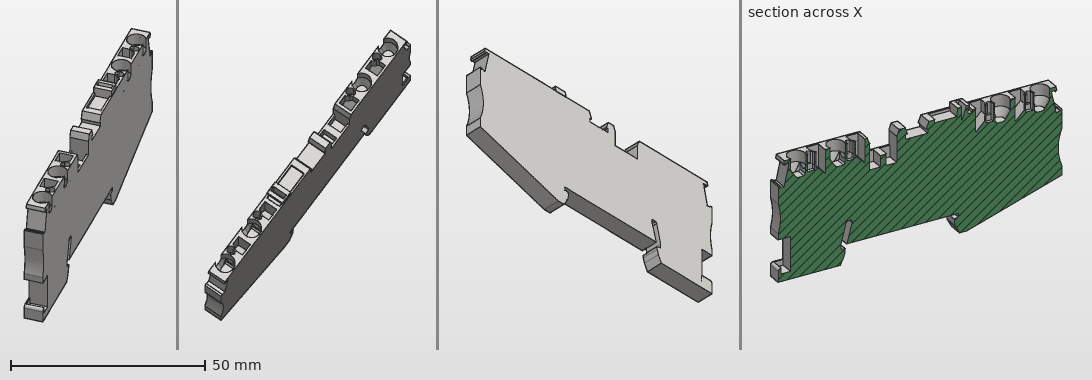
import cadquery as cq
import math

WIDTH = 5.1
HALF_LENGTH = 42.0
BODY_TOP = 35.3
TAB_TOP = 36.9

LEDGE_Z = 28.1
HOOK_TIP_Y = 40.5
HOOK_NECK_Y = 38.9

RAIL_ROOF_Z = 5.8
RAIL_BACK_Y = 11.25
LATCH_NOTCH_Y = -38.4
LATCH_NOTCH_TOP = 12.4
LATCH_NOTCH_BOTTOM = 4.0
LATCH_ROUND = 0.8
LATCH_RIM = 0.3
LATCH_HOLLOW_DEPTH = 1.7

MARKER_NOTCH_Z = 31.9
BRIDGE_NOTCH_Z = 29.15
BRIDGE_NOTCH_BACK = -7.0
BRIDGE_NOTCH_FRONT = -14.9

POCKET_WIDTH = 3.95
BRIDGE_POCKET_LENGTH = 3.0
BRIDGE_POCKET_DEPTH = 3.4

TAB_WIDTH = 4.9
TAB_BACK = 14.6
TAB_FRONT = 11.0
TAB_FOOT = 10.75
TAB_TAPER = 0.3
TAB_LIP = 0.8
TAB_SLOT_BACK = 13.6
TAB_SLOT_FRONT = 12.3
TAB_SLOT_SLOPE = 72.0
TAB_SEAT_BACK = 15.4
TAB_SEAT_DEPTH = 0.8
LABEL_FRONT = 4.4
LABEL_DEPTH = TAB_SEAT_DEPTH

TERMINAL_YS = (36.0, 24.4)
FUNNEL_X = 0.3
FUNNEL_RADIUS = 2.5
FUNNEL_STRAIGHT = 3.4
CONE_DEPTH = 2.6
CONE_END_X = 0.2
CONE_END_RADIUS = 1.4
CONE_END_SHIFT = 0.2
SEAT_REACH = 1.6
SEAT_RAMP_LENGTH = 0.5
SEAT_RAMP_SLOPE = 36.0

SPRING_BACK = -4.4
SPRING_FRONT = -7.9
SPRING_LEFT = -1.9
SPRING_RIGHT = 1.8
SPRING_CUT_X = 1.8
SPRING_CUT_Y = 1.1
SPRING_DEPTH = 3.4
SPRING_SLOPE = 45.0
TEST_HOLE_X = 1.35
TEST_HOLE_SHIFT = -3.8
TEST_HOLE_RADIUS = 1.0
TEST_HOLE_FLAT_X = 0.75
TEST_HOLE_DEPTH = 5.0
SIDE_HOLE_X = 0.5
SIDE_HOLE_SHIFT = -3.5
SIDE_HOLE_RADIUS = 0.6
SIDE_HOLE_DEPTH = 3.4


def box(x_min, x_max, y_min, y_max, z_min, z_max):
    """Block between two opposite corners."""
    size = (x_max - x_min, y_max - y_min, z_max - z_min)
    return cq.Workplane("XY").box(*size, centered=False).translate((x_min, y_min, z_min))


def prism(points, x_min, x_max):
    """Closed Y-Z outline extruded along X."""
    outline = cq.Workplane("YZ").polyline(points).close()
    return outline.extrude(x_max - x_min).translate((x_min, 0, 0))


def hook(side):
    """Hook outline at one end, from the top edge down to the side wall."""
    points = [
        (40.2, BODY_TOP),
        (HOOK_TIP_Y, 34.2),
        (40.0, 33.8),
        (39.9, 34.1),
        (HOOK_NECK_Y, 34.1),
        (40.3, 27.6),
        (41.3, 27.9),
        (41.4, LEDGE_Z),
        (HALF_LENGTH, LEDGE_Z),
    ]
    return [(side * y, z) for y, z in points]


def make_body():
    """Flat body, outlined from the back hook down, along the bottom and over the top."""
    feet_and_rail = [
        (HALF_LENGTH, 8.8),
        (13.8, 0),
        (11.7, 0),
        (10.25, 2.5),
        (10.0, 4.6),
        (RAIL_BACK_Y, 4.9),
        (RAIL_BACK_Y, RAIL_ROOF_Z),
        (-21.75, RAIL_ROOF_Z),
        (-20.2, 11.8),
        (-20.3, LATCH_NOTCH_TOP),
        (-21.5, LATCH_NOTCH_TOP),
        (-21.9, 11.9),
        (-23.35, 6.1),
        (-23.35, 4.9),
        (-22.1, 4.5),
        (-22.1, 3.7),
        (-22.5, 2.2),
        (-23.6, 0),
        (-HALF_LENGTH, 0),
        (-HALF_LENGTH, LATCH_NOTCH_BOTTOM - LATCH_ROUND),
    ]
    top_notches = [
        (-15.6, BODY_TOP),
        (BRIDGE_NOTCH_FRONT, 33.4),
        (BRIDGE_NOTCH_FRONT, BRIDGE_NOTCH_Z),
        (BRIDGE_NOTCH_BACK, BRIDGE_NOTCH_Z),
        (BRIDGE_NOTCH_BACK, 33.4),
        (-6.3, BODY_TOP),
        (-4.4, BODY_TOP),
        (-3.7, 33.3),
        (-4.2, 33.2),
        (-4.2, MARKER_NOTCH_Z),
        (2.2, MARKER_NOTCH_Z),
        (2.2, 33.0),
        (1.7, 33.2),
        (2.5, BODY_TOP),
    ]
    back_hook = hook(1)
    front_hook = hook(-1)
    round_mid = LATCH_ROUND * (1 - math.sqrt(0.5))
    outline = (
        cq.Workplane("YZ")
        .polyline(back_hook)
        .lineTo(HALF_LENGTH, 22.5)
        .threePointArc((40.9, 17.05), (HALF_LENGTH, 11.7))
    )
    for point in feet_and_rail:
        outline = outline.lineTo(*point)
    outline = (
        outline
        .threePointArc(
            (-HALF_LENGTH + round_mid, LATCH_NOTCH_BOTTOM - round_mid),
            (-HALF_LENGTH + LATCH_ROUND, LATCH_NOTCH_BOTTOM),
        )
        .lineTo(LATCH_NOTCH_Y, LATCH_NOTCH_BOTTOM)
        .lineTo(LATCH_NOTCH_Y, LATCH_NOTCH_TOP)
        .lineTo(-HALF_LENGTH, LATCH_NOTCH_TOP)
        .lineTo(-HALF_LENGTH, 14.3)
        .threePointArc((-41.4, 18.65), (-HALF_LENGTH, 23.0))
    )
    for point in front_hook[::-1] + top_notches:
        outline = outline.lineTo(*point)
    return outline.close().extrude(WIDTH / 2, both=True)


def make_tab():
    """Marker tab, and the cutter for its slot, a wedge that deepens toward the front."""
    profile = [
        (TAB_FOOT, BODY_TOP - TAB_SEAT_DEPTH),
        (TAB_BACK - TAB_TAPER, BODY_TOP - TAB_SEAT_DEPTH),
        (TAB_BACK - TAB_TAPER, BODY_TOP),
        (TAB_BACK, TAB_TOP - TAB_LIP),
        (TAB_BACK, TAB_TOP),
        (TAB_FRONT, TAB_TOP),
    ]
    tab = prism(profile, -TAB_WIDTH / 2, TAB_WIDTH / 2)
    drop = (TAB_SLOT_BACK - TAB_SLOT_FRONT) * math.tan(math.radians(TAB_SLOT_SLOPE))
    slot_profile = [
        (TAB_SLOT_FRONT, TAB_TOP),
        (TAB_SLOT_BACK, TAB_TOP),
        (TAB_SLOT_FRONT, TAB_TOP - drop),
    ]
    slot = prism(slot_profile, -POCKET_WIDTH / 2, POCKET_WIDTH / 2)
    return tab, slot


def top_pocket(y_min, y_max, top, depth):
    """Flat rectangular pocket, centred across the thickness."""
    return box(-POCKET_WIDTH / 2, POCKET_WIDTH / 2, y_min, y_max, top - depth, top)


def funnel(y):
    """Wire entry: straight bore, leaning cone, then a square seat with a ramp."""
    cone_top = BODY_TOP - FUNNEL_STRAIGHT
    floor = cone_top - CONE_DEPTH
    bore = (
        cq.Workplane("XY", origin=(FUNNEL_X, y, cone_top))
        .circle(FUNNEL_RADIUS)
        .extrude(FUNNEL_STRAIGHT)
    )
    cone = (
        cq.Workplane("XY", origin=(CONE_END_X, y - CONE_END_SHIFT, floor))
        .circle(CONE_END_RADIUS)
        .workplane(offset=CONE_DEPTH)
        .center(FUNNEL_X - CONE_END_X, CONE_END_SHIFT)
        .circle(FUNNEL_RADIUS)
        .loft(ruled=True)
    )
    ramp_start = y - SEAT_REACH
    ramp_end = ramp_start - SEAT_RAMP_LENGTH
    ramp_rise = SEAT_RAMP_LENGTH * math.tan(math.radians(SEAT_RAMP_SLOPE))
    seat = [
        (y - CONE_END_SHIFT, floor),
        (ramp_start, floor),
        (ramp_end, floor + ramp_rise),
        (ramp_end, cone_top),
        (y - CONE_END_SHIFT, cone_top),
    ]
    seat_left = CONE_END_X - CONE_END_RADIUS
    seat_right = CONE_END_X + CONE_END_RADIUS
    return bore.union(cone).union(prism(seat, seat_left, seat_right))


def spring_pocket(y):
    """Pocket with one corner cut off and a floor that falls toward the middle of the part."""
    back = y + SPRING_BACK
    front = y + SPRING_FRONT
    mouth = [
        (SPRING_LEFT, front),
        (SPRING_RIGHT, front),
        (SPRING_RIGHT, back - SPRING_CUT_Y),
        (SPRING_RIGHT - SPRING_CUT_X, back),
        (SPRING_LEFT, back),
    ]
    shallow_z = BODY_TOP - SPRING_DEPTH
    deep_z = shallow_z - (back - front) * math.tan(math.radians(SPRING_SLOPE))
    pocket = (
        cq.Workplane("XY", origin=(0, 0, deep_z))
        .polyline(mouth)
        .close()
        .extrude(BODY_TOP - deep_z)
    )
    wedge = [(front, deep_z), (back, deep_z), (back, shallow_z)]
    return pocket.cut(prism(wedge, -WIDTH / 2, WIDTH / 2))


def round_hole(x, y, radius, depth):
    """Blind hole from the top edge."""
    return cq.Workplane("XY", origin=(x, y, BODY_TOP - depth)).circle(radius).extrude(depth)


def test_hole(y):
    """Round hole with a flat along its inner side."""
    hole = round_hole(TEST_HOLE_X, y, TEST_HOLE_RADIUS, TEST_HOLE_DEPTH)
    keep = box(
        TEST_HOLE_FLAT_X, WIDTH / 2,
        y - TEST_HOLE_RADIUS, y + TEST_HOLE_RADIUS,
        BODY_TOP - TEST_HOLE_DEPTH, BODY_TOP,
    )
    return hole.intersect(keep)


def terminal(y):
    """All openings of one wire terminal, as separate cutters."""
    return [
        funnel(y),
        spring_pocket(y),
        test_hole(y + TEST_HOLE_SHIFT),
        round_hole(SIDE_HOLE_X, y + SIDE_HOLE_SHIFT, SIDE_HOLE_RADIUS, SIDE_HOLE_DEPTH),
    ]


result = make_body()

for terminal_y in TERMINAL_YS:
    for cutter in terminal(terminal_y):
        result = result.cut(cutter).cut(cutter.mirror("XZ"))

for pocket_y in (BRIDGE_NOTCH_BACK - BRIDGE_POCKET_LENGTH, BRIDGE_NOTCH_FRONT):
    pocket_end = pocket_y + BRIDGE_POCKET_LENGTH
    result = result.cut(top_pocket(pocket_y, pocket_end, BRIDGE_NOTCH_Z, BRIDGE_POCKET_DEPTH))

result = result.cut(
    box(
        -WIDTH / 2 + LATCH_RIM, WIDTH / 2,
        -HALF_LENGTH + LATCH_ROUND, LATCH_NOTCH_Y,
        LATCH_NOTCH_BOTTOM - LATCH_HOLLOW_DEPTH, LATCH_NOTCH_BOTTOM,
    )
)

result = result.cut(top_pocket(LABEL_FRONT, TAB_FOOT, BODY_TOP, LABEL_DEPTH))
result = result.cut(top_pocket(TAB_FOOT, TAB_SEAT_BACK, BODY_TOP, TAB_SEAT_DEPTH))
marker_tab, tab_slot = make_tab()
result = result.union(marker_tab).cut(tab_slot)